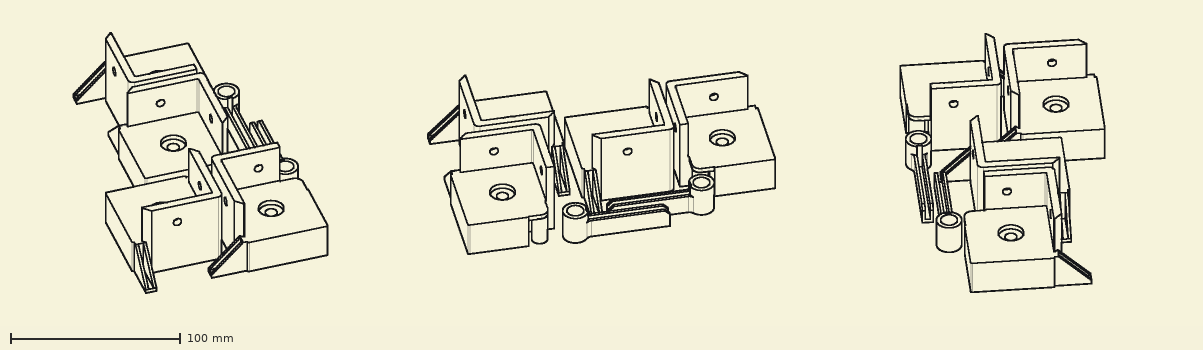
import cadquery as cq

block_side = 50.0
block_height = 22.0
block_edge_radius = 1.0

screw_shift = 1.5
screw_place = block_side / 2 + screw_shift
screw_hole_diameter = 7.0
screw_head_diameter = 15.0
screw_head_depth = 3.0

wall_thickness = 5.0
wall_top = 47.0
wall_corner_radius = 3.0
wall_hole_diameter = 5.0
wall_end_chamfer = 4.4
wall_hole_height = (block_height + wall_top) / 2

groove_width = 3.0
groove_floor = 2.5
lip_thickness = 1.8
grooved_width = groove_width + 2 * lip_thickness

rail_inset = 1.2
rail_reach = block_height
rail_tip_height = groove_floor
rail_flat_top = rail_reach - (block_height - rail_tip_height)
rail_centre = rail_inset + grooved_width / 2
wall_start = rail_centre + groove_width / 2

pocket_side = 13.2
cover_thickness = 3.0
cover_setback = 0.6
cover_radius = 5.0
pin_radius = 4.8
pocket_height = block_height - cover_thickness

ring_diameter = 15.0
ring_bore = 10.0
ring_height = 18.5
bar_height = 12.0
bar_reach = 56.5
bar_end_chamfer = 3.0
bar_fillet = 3.8
groove_start = 6.5

layout_length = 190.8
layout_width = 117.7
hinge_left_centre = (block_side / 2, 66.5)
hinge_right_centre = (layout_length - block_side / 2, 89.7)
plain_left_centre = (88.7, 51.5)
plain_right_centre = (layout_length - rail_reach - block_side / 2, block_side / 2)
link_left_place = (46.5, 99.8)
link_right_place = (125.0, layout_width - ring_diameter / 2)


def box(x_range, y_range, z_range):
    """Box between two limits along each axis."""
    size = [high - low for low, high in (x_range, y_range, z_range)]
    return cq.Workplane("XY").box(*size, centered=False).translate((x_range[0], y_range[0], z_range[0]))


def swap_sides(body):
    """Mirror a body across the block's diagonal, which swaps its +X and +Y sides."""
    return body.mirror("YZ").rotate((0, 0, 0), (0, 0, 1), -90)


def base_block():
    block = box((0, block_side), (0, block_side), (0, block_height))
    return block.edges("|Z").fillet(block_edge_radius)


def wall(upper_start):
    """L-shaped wall on the +X and +Y sides; the +Y leg starts at upper_start."""
    outer = block_side + wall_thickness
    legs = box((wall_start, outer), (wall_start, outer), (0, wall_top))
    legs = legs.edges("|Z and >X and >Y").fillet(wall_corner_radius)
    legs = legs.cut(box((0, upper_start), (block_side / 2, outer), (0, wall_top)))
    inside = box((0, block_side), (0, block_side), (0, wall_top))
    return legs.cut(inside.edges("|Z and >X and >Y").fillet(block_edge_radius))


def wall_end_cut():
    """Wedge that bevels the start of the +Y wall leg beside its rail."""
    outer = block_side + wall_thickness
    corners = [
        (wall_start, outer),
        (wall_start + wall_end_chamfer, outer),
        (wall_start, outer - wall_end_chamfer),
    ]
    return cq.Workplane("XY").polyline(corners).close().extrude(wall_top)


def wall_hole():
    """Hole through the +Y wall leg."""
    return (
        cq.Workplane("XZ", origin=(screw_place, block_side + 2 * wall_thickness, wall_hole_height))
        .circle(wall_hole_diameter / 2)
        .extrude(2 * wall_thickness)
    )


def rail():
    """Grooved 45-degree rail on the +Y side, near X = 0."""
    tip = block_side + rail_reach
    flat_end = block_side + rail_flat_top
    profile = [
        (block_side - block_edge_radius, 0),
        (tip, 0),
        (tip, rail_tip_height),
        (flat_end, block_height),
        (block_side - block_edge_radius, block_height),
    ]
    web = cq.Workplane("YZ", origin=(rail_inset, 0, 0)).polyline(profile).close().extrude(grooved_width)
    groove_sides = (rail_centre - groove_width / 2, rail_centre + groove_width / 2)
    return web.cut(box(groove_sides, (flat_end, tip), (groove_floor, block_height)))


def screw_hole():
    through = cq.Workplane("XY").circle(screw_hole_diameter / 2).extrude(block_height)
    head = (
        cq.Workplane("XY", origin=(0, 0, block_height - screw_head_depth))
        .circle(screw_head_diameter / 2)
        .extrude(screw_head_depth)
    )
    return through.union(head).translate((screw_place, screw_place, 0))


def hinge_cover():
    """Rounded cover plate over the hinge pocket."""
    cover = box(
        (cover_setback, pocket_side),
        (block_side - pocket_side, block_side - cover_setback),
        (pocket_height, block_height),
    )
    return cover.edges("|Z and <X and >Y").fillet(cover_radius)


def hinge_pin():
    """Upright pin in the hinge pocket, concentric with the cover's rounded corner."""
    pin_x = cover_setback + cover_radius
    pin_y = block_side - pin_x
    return cq.Workplane("XY", origin=(pin_x, pin_y, 0)).circle(pin_radius).extrude(block_height)


def plain_corner():
    """Corner with a rail on both wall sides."""
    body = base_block().union(wall(wall_start))
    for cutter in (wall_end_cut(), wall_hole()):
        body = body.cut(cutter).cut(swap_sides(cutter))
    body = body.union(rail()).union(swap_sides(rail()))
    return body.cut(screw_hole())


def hinge_corner():
    """Corner with a rail on the +X side and a hinge pocket where the +Y rail would be."""
    body = base_block().union(wall(pocket_side))
    body = body.cut(swap_sides(wall_end_cut()))
    body = body.cut(wall_hole()).cut(swap_sides(wall_hole()))
    body = body.union(swap_sides(rail()))
    body = body.cut(box((0, pocket_side), (block_side - pocket_side, block_side), (0, block_height)))
    return body.union(hinge_cover()).union(hinge_pin()).cut(screw_hole())


def link():
    """Ring about the Z axis with a grooved bar along +X."""
    half_width = grooved_width / 2
    bar = box((0, bar_reach), (-half_width, half_width), (0, bar_height))
    bar = bar.edges(">X and >Z").chamfer(bar_end_chamfer)
    foot = cq.Workplane("XY").circle(ring_diameter / 2).extrude(bar_height)
    body = bar.union(foot)
    body = body.edges("|Z and (not >X)").fillet(bar_fillet)
    body = body.union(cq.Workplane("XY").circle(ring_diameter / 2).extrude(ring_height))
    body = body.cut(cq.Workplane("XY").circle(ring_bore / 2).extrude(ring_height))
    groove = box((groove_start, bar_reach), (-groove_width / 2, groove_width / 2), (groove_floor, ring_height))
    return body.cut(groove)


def place(body, turn, spot):
    """Turn a body about the Z axis and move it to its spot on the ground plane."""
    return body.rotate((0, 0, 0), (0, 0, 1), turn).translate((spot[0], spot[1], 0))


def place_corner(body, turn, centre):
    """Turn a corner about the centre of its block and move that centre to its place."""
    return place(body.translate((-block_side / 2, -block_side / 2, 0)), turn, centre)


plain_corners = [
    place_corner(plain_corner(), turn, centre)
    for turn, centre in ((90, plain_left_centre), (0, plain_right_centre))
]
hinge_corner_left = place_corner(hinge_corner(), -90, hinge_left_centre)
hinge_corner_right = place_corner(swap_sides(hinge_corner()), 180, hinge_right_centre)
links = [place(link(), turn, spot) for turn, spot in ((0, link_left_place), (180, link_right_place))]

result = cq.Compound.makeCompound(
    [
        *[corner.val() for corner in plain_corners],
        hinge_corner_left.val(),
        hinge_corner_right.val(),
        *[piece.val() for piece in links],
    ]
)